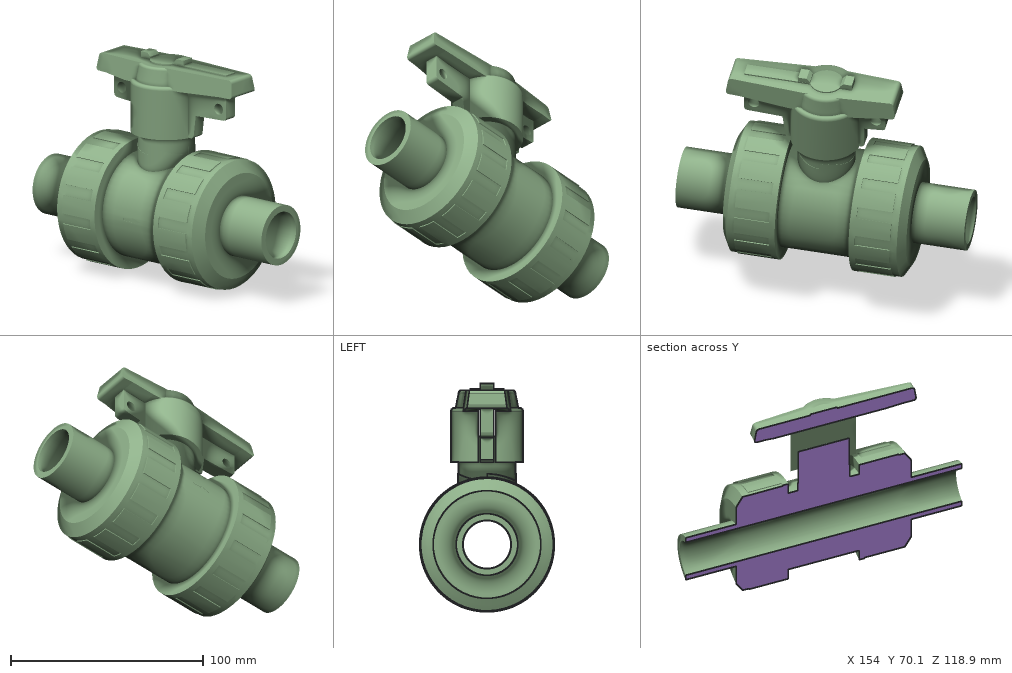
import cadquery as cq
import math


length = 154.0
total_height = 118.9
pipe_radius = 16.0
bore_radius = 12.5
body_radius = 28.3

nut_radius = 35.04
nut_groove_radius = 34.5
nut_face_radius = 28.0
nut_inner_x = 19.7
rib_inner_x = 23.0
rib_outer_x = 41.6
nut_chamfer_x = 45.3
nut_outer_x = 49.0
rib_count = 14
rib_angle = 16.0
nut_clearance_radius = nut_radius + 1.5
first_groove_angle = 90 + rib_angle

stem_radius = 15.0
stem_top = 56.2
sleeve_radius = 15.1
ramp_low = 33.1
ramp_high = 36.8

hub_radius = 18.8
hub_bottom = 42.8
hub_top = 71.1
hub_fillet = 1.8
boss_base_radius = 16.3
boss_top_radius = 14.5
boss_fillet = 1.7

lever_top = 80.4
lever_bottom = 69.5
lever_tip_bottom = 70.8
lever_left = 39.1
lever_right = 52.0
lever_half_width_left = 10.6
lever_half_width_right = 9.9
lever_half_width_center = 13.2
lever_draft = 8.5
lever_top_fillet = 2.0
lever_bottom_fillet = 1.5

fin_thickness = 7.2
fin_left = 32.2
fin_right = 43.1
fin_root_z = 55.5
fin_tip_z = 56.4
fin_corner = 1.8
key_chamfer = 1.2
key_left = 21.0
key_right = 22.6
key_right_bottom = 21.1
hole_z = 61.9
hole_radius = 3.0
hole_inset = 5.1
slot_width = 9.0
slot_top = 70.4

cap_radius = 8.6
relief = 0.8
strip_width = 7.4
tab_top = total_height - nut_radius
tab_outer_x = 14.3
tab_chamfer_x = 9.9
tab_inner_x = 8.0

arrow_depth = 0.2
arrow_half_length = 5.9
arrow_half_width = 1.7
arrow_shaft_half_width = 0.8


def cylinder_x(radius, start, end):
    """Solid cylinder along X."""
    return cq.Workplane("YZ").workplane(offset=start).circle(radius).extrude(end - start)


def cylinder_z(radius, start, end):
    """Solid cylinder along Z."""
    return cq.Workplane("XY").workplane(offset=start).circle(radius).extrude(end - start)


def plate(points, thickness):
    """Closed XZ outline extruded symmetrically about Y = 0."""
    return cq.Workplane("XZ").polyline(points).close().extrude(thickness / 2, both=True)


def nut_on_left():
    """Union nut on the -X side: chamfered ring, full collar and grip ribs left between grooves."""
    profile = [
        (-nut_inner_x, 0),
        (-nut_inner_x, nut_radius),
        (-rib_outer_x, nut_radius),
        (-rib_outer_x, nut_groove_radius),
        (-nut_chamfer_x, nut_groove_radius),
        (-nut_outer_x, nut_face_radius),
        (-nut_outer_x, 0),
    ]
    nut = cq.Workplane("XY").polyline(profile).close().revolve(360, (0, 0, 0), (1, 0, 0))
    rib_pitch = 360 / rib_count
    groove = (
        cq.Workplane("XY")
        .moveTo(-rib_outer_x, nut_groove_radius)
        .lineTo(-rib_outer_x, nut_clearance_radius)
        .lineTo(-rib_inner_x, nut_clearance_radius)
        .lineTo(-rib_inner_x, nut_groove_radius)
        .close()
        .revolve(rib_pitch - rib_angle, (0, 0, 0), (1, 0, 0))
    )
    for index in range(rib_count):
        nut = nut.cut(groove.rotate((0, 0, 0), (1, 0, 0), first_groove_angle + index * rib_pitch))
    return nut


def stem_and_sleeve():
    """Stem with a sleeve whose rim falls and steps back up once in each quarter turn."""
    stem = cylinder_z(stem_radius, 0, stem_top)
    sleeve = cylinder_z(sleeve_radius, 0, ramp_high)
    ramp_middle = ramp_low + (ramp_high - ramp_low) / 4
    quarter = (
        cq.Workplane("XZ")
        .lineTo(-hub_radius, 0)
        .lineTo(-hub_radius, ramp_high)
        .lineTo(-sleeve_radius, ramp_high)
        .threePointArc((-sleeve_radius / 2, ramp_middle), (0, ramp_low))
        .close()
        .extrude(hub_radius)
        .intersect(sleeve)
    )
    for turn in range(4):
        stem = stem.union(quarter.rotate((0, 0, 0), (0, 0, 1), turn * 90))
    return stem


def lever():
    """Drafted lever, widest over the stem, with rounded ends and a sloping underside."""
    outline = [
        (-lever_left, -lever_half_width_left),
        (0, -lever_half_width_center),
        (lever_right, -lever_half_width_right),
        (lever_right, lever_half_width_right),
        (0, lever_half_width_center),
        (-lever_left, lever_half_width_left),
    ]
    bar = (
        cq.Workplane("XY")
        .workplane(offset=lever_bottom)
        .polyline(outline)
        .close()
        .extrude(lever_top - lever_bottom, taper=lever_draft)
    )
    for tip, slope_end in ((-lever_left, -fin_left), (lever_right, fin_right)):
        below = [
            (math.copysign(hub_radius, tip), lever_bottom),
            (slope_end, lever_tip_bottom),
            (tip, lever_tip_bottom),
            (tip, lever_bottom),
        ]
        bar = bar.cut(plate(below, 2 * hub_radius))
    for end in ("<X", ">X"):
        bar = bar.edges("|Y").edges(end).fillet(lever_bottom_fillet)
    return bar.faces(">Z").edges("|Y").fillet(lever_top_fillet)


def hub():
    """Round hub with a tapered boss that rises level with the lever."""
    body = cylinder_z(hub_radius, hub_bottom, hub_top).faces(">Z").edges().fillet(hub_fillet)
    boss_profile = [
        (0, hub_top),
        (boss_base_radius, hub_top),
        (boss_top_radius, lever_top),
        (0, lever_top),
    ]
    boss = cq.Workplane("XZ").polyline(boss_profile).close().revolve(360, (0, 0, 0), (0, 1, 0))
    return body.union(boss.faces(">Z").edges().fillet(boss_fillet))


def fin_slot():
    """Clearance for the fin, running through the hub and just into the lever."""
    outline = [
        (-fin_left, hub_bottom),
        (fin_right, hub_bottom),
        (fin_right, slot_top),
        (-fin_left, slot_top),
    ]
    return plate(outline, slot_width)


def fin():
    """Flat fin with two locking holes and a shorter key reaching down to the hub's base."""
    wings = plate(
        [
            (-fin_left, lever_tip_bottom),
            (-fin_left, fin_tip_z),
            (-key_left, fin_root_z),
            (key_right, fin_root_z),
            (fin_right, fin_tip_z),
            (fin_right, lever_tip_bottom),
        ],
        fin_thickness,
    )
    for end in ("<X", ">X"):
        wings = wings.faces(end).edges("<Z").fillet(fin_corner)
    key = plate(
        [
            (-key_left, fin_root_z),
            (-key_left, hub_bottom),
            (key_right_bottom, hub_bottom),
            (key_right, fin_root_z),
        ],
        fin_thickness,
    )
    key = key.faces("<Z").edges("|Y").chamfer(key_chamfer)
    holes = (
        cq.Workplane("XZ")
        .pushPoints([(hole_inset - fin_left, hole_z), (fin_right - hole_inset, hole_z)])
        .circle(hole_radius)
        .extrude(fin_thickness, both=True)
    )
    return wings.union(key).cut(holes)


def lever_markers():
    """Round cap, long strip and two chamfered tabs raised above the lever."""
    raised_z = lever_top + relief
    markers = cylinder_z(cap_radius, hub_top, raised_z)
    strip = [(0, hub_top), (fin_right, hub_top), (fin_right, raised_z), (0, raised_z)]
    markers = markers.union(plate(strip, strip_width))
    chamfer_drop = tab_chamfer_x - tab_inner_x
    for side in (-1, 1):
        tab = [
            (side * tab_inner_x, hub_top),
            (side * tab_outer_x, hub_top),
            (side * tab_outer_x, tab_top),
            (side * tab_chamfer_x, tab_top),
            (side * tab_inner_x, tab_top - chamfer_drop),
        ]
        markers = markers.union(plate(tab, fin_thickness))
    return markers


def flow_arrow():
    """Shallow arrow pointing along +X, sunk into the -Y side of the body."""
    outline = [
        (-arrow_half_length, -arrow_shaft_half_width),
        (0, -arrow_shaft_half_width),
        (0, -arrow_half_width),
        (arrow_half_length, 0),
        (0, arrow_half_width),
        (0, arrow_shaft_half_width),
        (-arrow_half_length, arrow_shaft_half_width),
    ]
    prism = cq.Workplane("XZ").polyline(outline).close().extrude(nut_radius)
    return prism.cut(cylinder_x(body_radius - arrow_depth, -nut_inner_x, nut_inner_x))


left_nut = nut_on_left()
right_nut = left_nut.rotate((0, 0, 0), (0, 0, 1), 180)
valve = cylinder_x(body_radius, -nut_inner_x, nut_inner_x).cut(flow_arrow())
valve = valve.union(cylinder_x(pipe_radius, -length / 2, length / 2))
valve = valve.union(left_nut).union(right_nut).union(stem_and_sleeve())
valve = valve.cut(cylinder_x(bore_radius, -length / 2, length / 2))

handle = hub().union(lever()).cut(fin_slot()).union(fin()).union(lever_markers())

result = valve.union(handle)